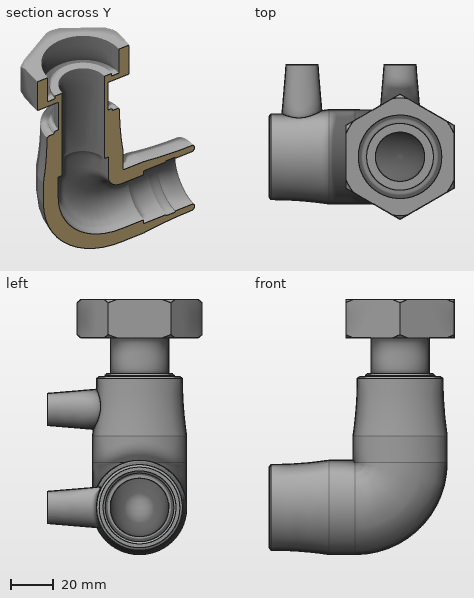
import cadquery as cq
import math

body_radius = 22.0
mouth_radius = 20.0
bore_radius = 27.27 / 2
bend_radius = 21.0
taper_start = 33.2
taper_end = 60.2
leg_length = 61.0
mouth_chamfer_width = 1.2
socket_radius = 32.0 / 2
socket_lead_in = 1.0
socket_floor = taper_start
groove_radius = 16.7
groove_outer_end = 50.5
groove_inner_end = 45.5

stem_radius = 27.27 / 2
stem_bore_radius = 23.0 / 2
collar_radius = 16.2
collar_top = 62.4
collar_chamfer = 0.9

nut_across_flats = 50.6
nut_top = 97.0
nut_height = 18.0
nut_bottom = nut_top - nut_height
nut_corner_radius = nut_across_flats / math.sqrt(3)
nut_bore_radius = 38.95 / 2
nut_bore_depth = 14.7
nut_face_radius = 27.4
nut_corner_drop = 1.6
seat_radius = 31.16 / 2
seat_height = 1.6
seat_top = nut_top - nut_bore_depth + seat_height

peg_tip_y = 43.0
peg_tip_radius = 7.5
peg_embedding = 4.0
peg_root_y = body_radius - peg_embedding
peg_root_radius = 9.6
peg_station = 45.7


def upright_to_side(shape):
    """Turn a shape built on the +Z leg onto the -X leg."""
    return shape.rotate((0, 0, 0), (0, 1, 0), -90)


def leg():
    """Outside of one leg: a cylinder, a curved taper and a chamfered mouth."""
    taper_middle = (
        mouth_radius + (body_radius - mouth_radius) / 4,
        (taper_start + taper_end) / 2,
    )
    return (
        cq.Workplane("XZ")
        .moveTo(0, bend_radius)
        .lineTo(body_radius, bend_radius)
        .lineTo(body_radius, taper_start)
        .threePointArc(taper_middle, (mouth_radius, taper_end))
        .lineTo(mouth_radius - mouth_chamfer_width, leg_length)
        .lineTo(0, leg_length)
        .close()
        .revolve(360, (0, 0, 0), (0, 1, 0))
    )


def open_socket():
    """Cavity of the -X leg: bore, wider socket, ring groove and lead-in chamfer."""
    cavity = (
        cq.Workplane("XZ")
        .moveTo(0, bend_radius)
        .lineTo(bore_radius, bend_radius)
        .lineTo(bore_radius, socket_floor)
        .lineTo(socket_radius, socket_floor)
        .lineTo(socket_radius, groove_inner_end)
        .lineTo(groove_radius, groove_inner_end)
        .lineTo(groove_radius, groove_outer_end)
        .lineTo(socket_radius, groove_outer_end)
        .lineTo(socket_radius, leg_length - socket_lead_in)
        .lineTo(socket_radius + socket_lead_in, leg_length)
        .lineTo(0, leg_length)
        .close()
        .revolve(360, (0, 0, 0), (0, 1, 0))
    )
    return upright_to_side(cavity)


def upright_cylinder(radius, bottom, top):
    """Cylinder on the Z axis between two heights."""
    return cq.Workplane("XY", origin=(0, 0, bottom)).circle(radius).extrude(top - bottom)


def bend(tube_radius):
    """Quarter turn joining the legs, a round tube cut off where it would cross the bend axis."""
    window = 4 * body_radius
    section = (
        cq.Sketch()
        .circle(tube_radius)
        .push([(window / 2 - bend_radius, 0)])
        .rect(window, window, mode="i")
    )
    return (
        cq.Workplane("XY", origin=(0, 0, bend_radius))
        .placeSketch(section)
        .revolve(90, (-bend_radius, 0, 0), (-bend_radius, 1, 0))
    )


def stem():
    """Chamfered collar on the upright mouth, pipe above it and seat inside the nut."""
    collar = upright_cylinder(collar_radius, leg_length, collar_top).faces(">Z").chamfer(collar_chamfer)
    pipe = upright_cylinder(stem_radius, leg_length, seat_top)
    seat = upright_cylinder(seat_radius, nut_bottom, seat_top)
    return collar.union(pipe).union(seat)


def upright_bore():
    """Passage of the +Z leg: full bore below, narrower stem bore above."""
    lower = upright_cylinder(bore_radius, bend_radius, socket_floor)
    return lower.union(upright_cylinder(stem_bore_radius, socket_floor, seat_top))


def nut():
    """Hexagonal nut, corners along Y and chamfered at both ends, bored from the top."""
    hexagon = (
        cq.Workplane("XY", origin=(0, 0, nut_bottom))
        .polygon(6, 2 * nut_corner_radius)
        .extrude(nut_height)
        .rotate((0, 0, 0), (0, 0, 1), 90)
    )
    envelope = (
        cq.Workplane("XZ")
        .moveTo(0, nut_bottom)
        .lineTo(nut_face_radius, nut_bottom)
        .lineTo(nut_corner_radius, nut_bottom + nut_corner_drop)
        .lineTo(nut_corner_radius, nut_top - nut_corner_drop)
        .lineTo(nut_face_radius, nut_top)
        .lineTo(0, nut_top)
        .close()
        .revolve(360, (0, 0, 0), (0, 1, 0))
    )
    bore = upright_cylinder(nut_bore_radius, nut_top - nut_bore_depth, nut_top)
    return hexagon.intersect(envelope).cut(bore)


def peg(x, z):
    """Conical terminal peg pointing along +Y from inside the wall."""
    cone = cq.Solid.makeCone(
        peg_root_radius,
        peg_tip_radius,
        peg_tip_y - peg_root_y,
        cq.Vector(x, peg_root_y, z),
        cq.Vector(0, 1, 0),
    )
    return cq.Workplane(obj=cone)


elbow = bend(body_radius).union(leg()).union(upright_to_side(leg()))
pegged_elbow = elbow.union(peg(0, peg_station)).union(peg(-peg_station, 0))
fitting = pegged_elbow.union(nut()).union(stem())

result = fitting.cut(bend(bore_radius)).cut(open_socket()).cut(upright_bore())